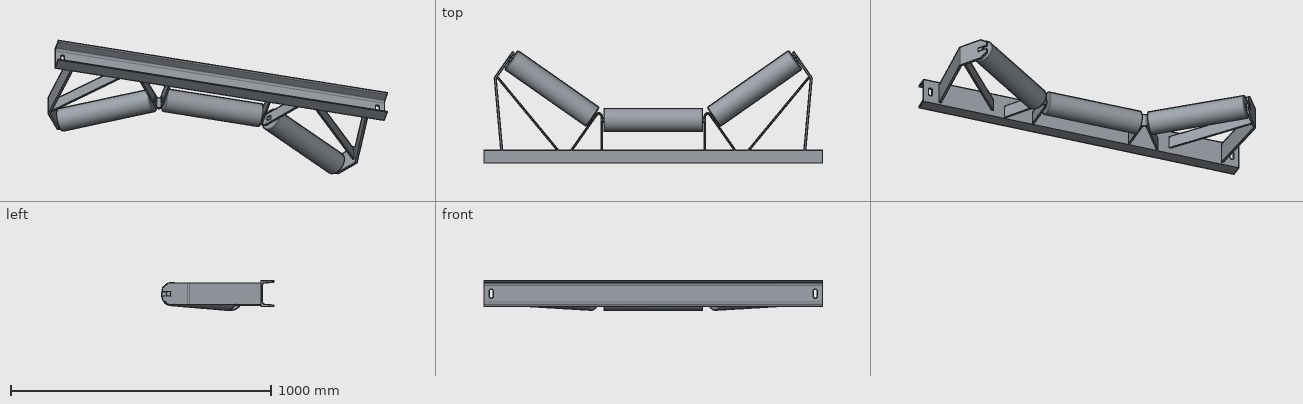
import cadquery as cq
import math


BEAM_LENGTH = 1300.0
BEAM_HEIGHT = 100.0
FLANGE_WIDTH = 50.0
WEB_THICKNESS = 6.0
FLANGE_THICKNESS = 8.5
FLANGE_SLOPE = 0.08
ROOT_RADIUS = 8.5
TOE_RADIUS = 4.5

SLOT_LENGTH = 35.0
SLOT_WIDTH = 15.0
SLOT_END_DISTANCE = 28.0

ROLLER_DIAMETER = 89.0
ROLLER_LENGTH = 380.0
ROLLER_EDGE_RADIUS = 3.0
SHAFT_DIAMETER = 20.0
SHAFT_FLATS = 16.0
INNER_END_GAP = 5.0
OUTER_END_GAP = 7.0

TROUGH_ANGLE = 35.0
FORWARD_TILT = 2.8
CENTRE_ROLLER_Y = 116.5
CENTRE_ROLLER_Z = -20.0
SIDE_ROLLER_X = 389.0
SIDE_ROLLER_Y = 237.35
SIDE_ROLLER_Z = CENTRE_ROLLER_Z + ROLLER_LENGTH / 2 * math.sin(math.radians(FORWARD_TILT))

OUTER_BAR_THICKNESS = 8.0
INNER_BAR_THICKNESS = 6.0
OUTER_BAR_HEIGHT = 82.0
INNER_BAR_HEIGHT = 50.0
OUTER_BEND_RADIUS = 3.0
INNER_BEND_RADIUS = 8.0
OUTER_BEND_Y = 278.0
OUTER_FOOT_X = 586.0
OUTER_TIP_LENGTH = 29.0
TIP_CHAMFER_LENGTH = 26.0
TIP_CHAMFER_HEIGHT = 18.0

BRACE_THICKNESS = 6.0
BRACE_HEIGHT = 50.0
BRACE_FOOT_X = 366.5
BRACE_TOP_X = 596.0
BRACE_TOP_Y = 277.6

INNER_FACE = ROLLER_LENGTH / 2 + INNER_END_GAP
INNER_REACH = INNER_FACE + INNER_BAR_THICKNESS
OUTER_FACE = ROLLER_LENGTH / 2 + OUTER_END_GAP
OUTER_REACH = OUTER_FACE + OUTER_BAR_THICKNESS

trough = math.radians(TROUGH_ANGLE)
ALONG = cq.Vector(math.cos(trough), math.sin(trough))
ACROSS = cq.Vector(-math.sin(trough), math.cos(trough))
SIDE_ROLLER_CENTRE = cq.Vector(SIDE_ROLLER_X, SIDE_ROLLER_Y)


def on_side(shape, side):
    """Keep a right-hand shape (side 1) or mirror it to the left (side -1)."""
    return shape if side > 0 else shape.mirror("YZ")


def at_side_roller(shape):
    """Move a shape built along X at the origin to the right side roller's axis."""
    tilted = shape.rotate((0, 0, 0), (0, 1, 0), -FORWARD_TILT)
    swung = tilted.rotate((0, 0, 0), (0, 0, 1), TROUGH_ANGLE)
    return swung.translate((SIDE_ROLLER_X, SIDE_ROLLER_Y, SIDE_ROLLER_Z))


def point_at_y(start, direction, y):
    """Point of a line in the XY plane at the given Y."""
    return start + direction * ((y - start.y) / direction.y)


def bent_bar(height, middle_z, thickness, bend_radius, near_outline, far_outline):
    """Upright bar with one bend, from the foot, bend and tip points of its two faces.

    The near face is on the inside of the bend and the far face on the outside.
    """
    outline = near_outline + far_outline[::-1]
    bar = (
        cq.Workplane("XY", origin=(0, 0, middle_z - height / 2))
        .polyline([(p.x, p.y) for p in outline])
        .close()
        .extrude(height)
    )
    for face_outline, radius in (
        (near_outline, bend_radius),
        (far_outline, bend_radius + thickness),
    ):
        bend = face_outline[1]
        corner = cq.selectors.NearestToPointSelector((bend.x, bend.y, middle_z))
        bar = bar.edges(corner).fillet(radius)
    return bar


def make_beam():
    half_height = BEAM_HEIGHT / 2
    half_taper = FLANGE_SLOPE * FLANGE_WIDTH / 2
    toe_z = half_height - FLANGE_THICKNESS + half_taper
    root_z = half_height - FLANGE_THICKNESS - half_taper + FLANGE_SLOPE * WEB_THICKNESS
    outline = [
        (0, -half_height),
        (-FLANGE_WIDTH, -half_height),
        (-FLANGE_WIDTH, -toe_z),
        (-WEB_THICKNESS, -root_z),
        (-WEB_THICKNESS, root_z),
        (-FLANGE_WIDTH, toe_z),
        (-FLANGE_WIDTH, half_height),
        (0, half_height),
    ]
    beam = cq.Workplane("YZ", origin=(-BEAM_LENGTH / 2, 0, 0)).polyline(outline).close().extrude(BEAM_LENGTH)
    for corner_y, corner_z, radius in (
        (-WEB_THICKNESS, root_z, ROOT_RADIUS),
        (-FLANGE_WIDTH, toe_z, TOE_RADIUS),
    ):
        for sign in (1, -1):
            corner = cq.selectors.NearestToPointSelector((0, corner_y, sign * corner_z))
            beam = beam.edges(corner).fillet(radius)
    slot_x = BEAM_LENGTH / 2 - SLOT_END_DISTANCE
    slots = (
        cq.Workplane("XZ")
        .pushPoints([(-slot_x, 0), (slot_x, 0)])
        .slot2D(SLOT_LENGTH, SLOT_WIDTH, 90)
        .extrude(WEB_THICKNESS)
    )
    return beam.cut(slots)


def cylinder_along_x(diameter, start_x, end_x):
    """Cylinder on the X axis."""
    return cq.Workplane("YZ", origin=(start_x, 0, 0)).circle(diameter / 2).extrude(end_x - start_x)


def make_roller(left_reach, right_reach):
    """Roller along X with its shaft; the shaft ends beyond the shell have flats."""
    shell = cylinder_along_x(ROLLER_DIAMETER, -ROLLER_LENGTH / 2, ROLLER_LENGTH / 2)
    shell = shell.faces("<X or >X").edges().fillet(ROLLER_EDGE_RADIUS)
    shaft = cylinder_along_x(SHAFT_DIAMETER, -left_reach, right_reach)
    flats = cq.Workplane("XY").box(2 * max(left_reach, right_reach), SHAFT_DIAMETER, SHAFT_FLATS)
    return shell.union(shaft.intersect(flats))


def make_centre_roller():
    roller = make_roller(INNER_REACH, INNER_REACH)
    return roller.translate((0, CENTRE_ROLLER_Y, CENTRE_ROLLER_Z))


def make_side_roller():
    return at_side_roller(make_roller(INNER_REACH, OUTER_REACH))


def make_inner_bracket():
    """Bar bent over between the centre roller and the right side roller, holding both shafts."""

    def face_outline(leg_x, axis_distance):
        """Foot, bend and tip of a face: a leg along Y, then a leg square to the side roller."""
        on_axis = SIDE_ROLLER_CENTRE - ALONG * axis_distance
        bend = on_axis + ACROSS * ((leg_x - on_axis.x) / ACROSS.x)
        return [cq.Vector(leg_x, 0), bend, point_at_y(on_axis, ACROSS, 0)]

    bracket = bent_bar(
        INNER_BAR_HEIGHT,
        CENTRE_ROLLER_Z,
        INNER_BAR_THICKNESS,
        INNER_BEND_RADIUS,
        face_outline(INNER_REACH, INNER_REACH),
        face_outline(INNER_FACE, INNER_FACE),
    )
    return bracket.cut(make_centre_roller()).cut(make_side_roller())


def make_outer_bracket():
    """Bar from the web up to the outer end of the right side roller, with an open shaft slot."""
    near_axis = SIDE_ROLLER_CENTRE + ALONG * OUTER_FACE
    far_axis = SIDE_ROLLER_CENTRE + ALONG * OUTER_REACH
    far_foot = cq.Vector(OUTER_FOOT_X, 0)
    far_bend = point_at_y(far_axis, ACROSS, OUTER_BEND_Y)
    leg = (far_bend - far_foot).normalized()
    half_turn = leg.getAngle(ACROSS) / 2
    inward = (ACROSS - leg).normalized()
    near_bend = far_bend + inward * (OUTER_BAR_THICKNESS / math.cos(half_turn))
    to_tip = ACROSS * OUTER_TIP_LENGTH
    bracket = bent_bar(
        OUTER_BAR_HEIGHT,
        0,
        OUTER_BAR_THICKNESS,
        OUTER_BEND_RADIUS,
        [point_at_y(near_bend, leg, 0), near_bend, near_axis + to_tip],
        [far_foot, far_bend, far_axis + to_tip],
    )
    return bracket.cut(tip_corners(near_axis)).cut(shaft_slot())


def tip_corners(near_axis):
    """Triangles that chamfer the upper and lower corners of the outer bracket's tip."""
    tip_plane = cq.Plane(origin=near_axis.toTuple(), xDir=ACROSS.toTuple(), normal=ALONG.toTuple())
    half_height = OUTER_BAR_HEIGHT / 2
    corners = cq.Workplane(tip_plane)
    for sign in (1, -1):
        corners = corners.polyline(
            [
                (OUTER_TIP_LENGTH, sign * half_height),
                (OUTER_TIP_LENGTH - TIP_CHAMFER_LENGTH, sign * half_height),
                (OUTER_TIP_LENGTH, sign * (half_height - TIP_CHAMFER_HEIGHT)),
            ]
        ).close()
    return corners.extrude(OUTER_BAR_THICKNESS)


def shaft_slot():
    """Slot in line with the side roller's shaft, open at the tip of the outer bracket."""
    slot_end_y = -SHAFT_DIAMETER / 2
    slot = cq.Workplane("XY").box(
        4 * OUTER_BAR_THICKNESS,
        2 * OUTER_TIP_LENGTH - slot_end_y,
        SHAFT_FLATS,
        centered=(True, False, True),
    )
    return at_side_roller(slot.translate((OUTER_FACE, slot_end_y, 0)))


def make_brace(outer_bracket):
    """Flat bar from the web to the inside of the outer bracket's bend."""
    foot = cq.Vector(BRACE_FOOT_X, 0)
    top = cq.Vector(BRACE_TOP_X, BRACE_TOP_Y)
    run = (top - foot).normalized()
    offset = cq.Vector(-run.y, run.x) * (BRACE_THICKNESS / 2)
    outline = [
        point_at_y(foot - offset, run, 0),
        top - offset,
        top + offset,
        point_at_y(foot + offset, run, 0),
    ]
    brace = (
        cq.Workplane("XY", origin=(0, 0, -BRACE_HEIGHT / 2))
        .polyline([(p.x, p.y) for p in outline])
        .close()
        .extrude(BRACE_HEIGHT)
    )
    return brace.cut(outer_bracket)


bodies = [make_beam().val(), make_centre_roller().val()]
outer_bracket = make_outer_bracket()
for side in (1, -1):
    bodies += on_side(make_side_roller(), side).vals()
    bodies += on_side(make_inner_bracket(), side).vals()
    bodies += on_side(outer_bracket, side).vals()
    bodies += on_side(make_brace(outer_bracket), side).vals()

result = cq.Compound.makeCompound(bodies)